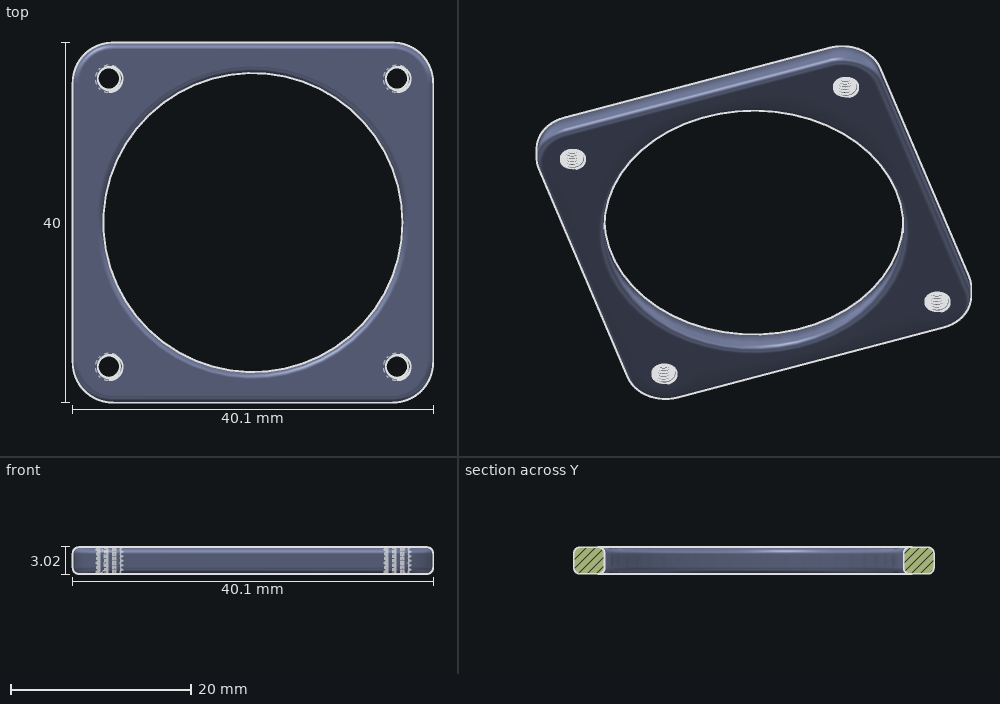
import math

import cadquery as cq

length_x = 40.08
length_y = 40.03
thickness = 3.02
corner_radius = 4.5
edge_fillet = 0.75

bore_diameter = 33.2

hole_spacing = 32.0
thread_pitch = 0.5
thread_angle = 60.0
thread_root_diameter = 3.06
thread_crest_diameter = 2.44
root_flat = 0.02
radial_overlap = 0.02


def make_frame():
    """Rounded square plate with a round opening, every edge of both faces filleted."""
    plate = (
        cq.Workplane("XY")
        .rect(length_x, length_y)
        .extrude(thickness)
        .edges("|Z")
        .fillet(corner_radius)
    )
    bore = cq.Workplane("XY").circle(bore_diameter / 2).extrude(thickness)
    return plate.cut(bore).faces("<Z or >Z").edges().fillet(edge_fillet)


def make_thread_groove():
    """Helical V groove around the Z axis, running out past both plate faces."""
    root_radius = thread_root_diameter / 2
    inner_radius = thread_crest_diameter / 2 - radial_overlap
    half_root = root_flat / 2
    flank_slope = math.tan(math.radians(thread_angle / 2))
    half_mouth = half_root + (root_radius - inner_radius) * flank_slope

    turns_below_top = math.ceil(thickness / thread_pitch) + 1
    turns = turns_below_top + 1
    start_z = thickness - turns_below_top * thread_pitch

    helix = cq.Wire.makeHelix(
        thread_pitch, turns * thread_pitch, root_radius, center=cq.Vector(0, 0, start_z)
    )
    profile = (
        cq.Workplane("XZ")
        .moveTo(inner_radius, start_z - half_mouth)
        .lineTo(root_radius, start_z - half_root)
        .lineTo(root_radius, start_z + half_root)
        .lineTo(inner_radius, start_z + half_mouth)
        .close()
    )
    return profile.sweep(cq.Workplane(helix), isFrenet=True)


def make_threaded_hole():
    """Solid that fills one threaded through hole, on the Z axis.

    A plain block is threaded first, and what the threaded block lacks is the hole.
    """
    block_diameter = 2 * thread_root_diameter
    block = cq.Workplane("XY").circle(block_diameter / 2).extrude(thickness)
    drill = cq.Workplane("XY").circle(thread_crest_diameter / 2).extrude(thickness)
    threaded_block = block.cut(make_thread_groove()).cut(drill)
    return block.cut(threaded_block)


def cut_threaded_holes(body):
    """Cut the four threaded through holes near the corners of the plate."""
    hole = make_threaded_hole()
    for side_x in (-1, 1):
        for side_y in (-1, 1):
            centre = (side_x * hole_spacing / 2, side_y * hole_spacing / 2, 0)
            body = body.cut(hole.translate(centre))
    return body


result = cut_threaded_holes(make_frame())